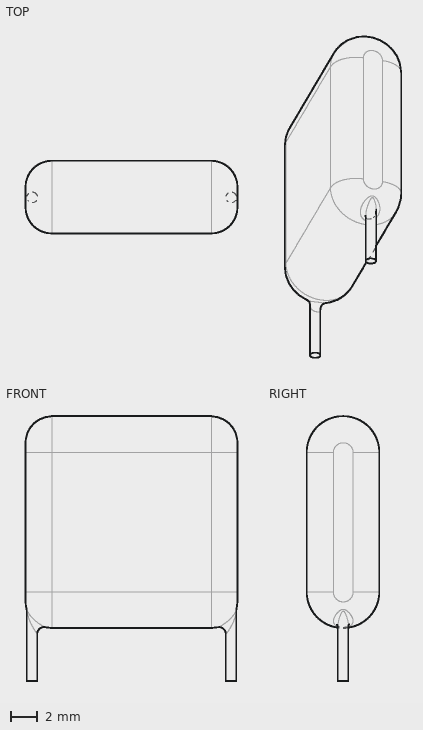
import cadquery as cq

body_width = 16.0
body_thickness = 5.5
body_height = 16.0
end_radius = 2.0

lead_diameter = 0.8
lead_pitch = 15.0
lead_length = 4.0
joint_radius = 0.5


def make_body():
    """Upright stadium profile extruded along X, standing on Z = 0, with both ends rounded over."""
    return (
        cq.Workplane("YZ")
        .center(0, body_height / 2)
        .slot2D(body_height, body_thickness, 90)
        .extrude(body_width / 2, both=True)
        .faces("<X or >X")
        .edges()
        .fillet(end_radius)
    )


def make_leads():
    """Wires reaching up into the lower corners of the body."""
    return (
        cq.Workplane("XY", origin=(0, 0, -lead_length))
        .pushPoints([(-lead_pitch / 2, 0), (lead_pitch / 2, 0)])
        .circle(lead_diameter / 2)
        .extrude(lead_length + end_radius)
    )


def blend_joints(part):
    """Round the curved seams where the leads enter the body."""
    return part.edges("%BSPLINE").fillet(joint_radius)


result = blend_joints(make_body().union(make_leads()))